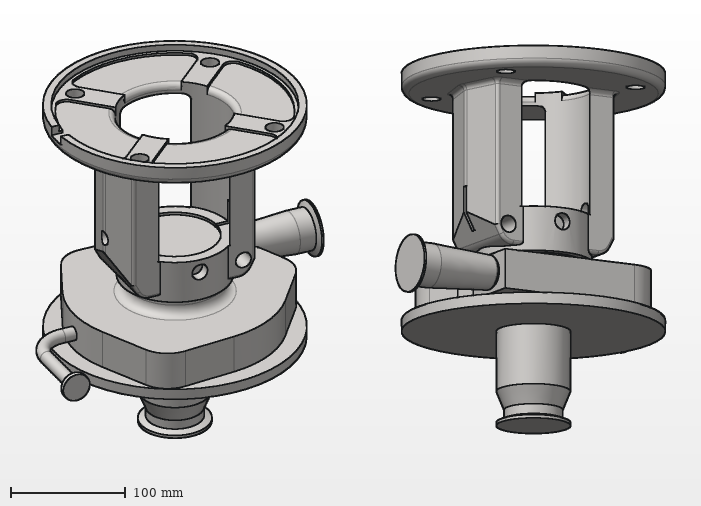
import cadquery as cq
import math

BASE_TOP = 10.0
HOUSING_TOP = 45.0
NECK_FILLET_TOP = 54.5
COLLAR_BOTTOM = 61.3
COLLAR_TOP = 100.7
FLANGE_BOTTOM = 212.3
FLANGE_TOP = 230.0
INLET_BOTTOM = -84.0

PLATE_DIAMETER = 230.0
PLATE_RADIUS = PLATE_DIAMETER / 2

HOUSING_ARC_RADIUS = 97.8
LOBE_CENTER_RADIUS = 84.7
ARC_HALF_ANGLE = 24
LOBE_HALF_ANGLE = 60 - ARC_HALF_ANGLE
LOBE_RADIUS = HOUSING_ARC_RADIUS - LOBE_CENTER_RADIUS * math.cos(math.radians(LOBE_HALF_ANGLE))
OUTLET_FACE_Y = 87.2
OUTLET_FACE_END_X = -46.8
OUTLET_NOTCH = 13.8
OUTLET_NOTCH_ANGLE = 60

NECK_RADIUS = 43.5
COLLAR_RADIUS = 51.0
SHAFT_RADIUS = 40.0
SHAFT_RECESS = 2.5
COLLAR_HOLE_RADIUS = 7.5
COLLAR_HOLE_Z = 88.5

FLANGE_EDGE_FILLET = 6.5
BORE_RADIUS = 52.0
RIM_INNER_RADIUS = 107.8
LAND_Z = FLANGE_TOP - 6.0
POCKET_FLOOR_Z = FLANGE_TOP - 8.3
POCKET_RADIUS = 104.2
POCKET_CORNER = 9.5
POCKET_LIP = 5.8
BAND_WIDTH = 24.0
BAND_ANGLES = (45, 135)
BOLT_RADIUS = 8.0
BOLT_CIRCLE_RADIUS = 92.0
BOLT_ANGLES = (45, 135, 225, 315)
RIM_SLOT_WIDTH = 19.0

LEG_HALF_WIDTH = 39.0
LEG_SIDE_Y = 59.0
LEG_PEAK_Y = 69.3
LEG_INNER_Y = 19.2
LEG_BOTTOM = 66.5
LEG_CHAMFER_TOP = 100.0
LEG_CHAMFER_ANGLE = 28
LEG_RIDGE_FILLET = 10.0
LEG_EDGE_FILLET = 3.2
LEG_TOE_FILLET = 14.5
LEG_ROOT_FILLET = 4.8
SIGHT_HOLE_RADIUS = 6.5
SIGHT_HOLE_Z = 113.5

SLIT_WIDTH = 4.0
SLIT_TOP = 122.0
CLAMP_HOLE_RADIUS = 7.5
CLAMP_HOLE_Y = 47.5
CLAMP_HOLE_Z = 83.5

PICK_MARGIN = 0.3

INLET_RADIUS = 32.5
INLET_CONE_TOP = -53.5
INLET_CONE_BOTTOM = -70.0
INLET_NECK_RADIUS = 25.5
INLET_FERRULE_TOP = -78.5
INLET_RIM_TOP = -81.0

OUTLET_X = -80.0
OUTLET_Z = (BASE_TOP + HOUSING_TOP) / 2
OUTLET_END_Y = 170.0
OUTLET_RIM = 2.0
OUTLET_FERRULE = 4.5
OUTLET_CONE_END_Y = 149.8
OUTLET_RADIUS = 19.5
OUTLET_FERRULE_RADIUS = 25.3
OUTLET_ROOT_Y = 91.7
OUTLET_ROOT_RADIUS = 15.5
OUTLET_ROOT_ROUND = 3.2

DRAIN_Z = 25.5
DRAIN_DIAMETER = 12.5
DRAIN_EMBED = 3.2
DRAIN_Y = -138.0
DRAIN_BEND = 29.2
DRAIN_END_X = 89.8
DRAIN_FERRULE_RADIUS = 12.8
DRAIN_RIM = 4.5
DRAIN_CONE = 3.0
DRAIN_CONE_RADIUS = 9.0


def polar(radius, angle, center=(0, 0)):
    turn = math.radians(angle)
    return (center[0] + radius * math.cos(turn), center[1] + radius * math.sin(turn))


def cylinder(radius, bottom, top):
    return cq.Workplane("XY").workplane(offset=bottom).circle(radius).extrude(top - bottom)


def box_between(x_range, y_range, z_range):
    sizes = [high - low for low, high in (x_range, y_range, z_range)]
    corner = (x_range[0], y_range[0], z_range[0])
    return cq.Workplane("XY").box(*sizes, centered=False).translate(corner)


def make_housing():
    lobes = {angle: polar(LOBE_CENTER_RADIUS, angle) for angle in (90, 210, 330)}
    outlet_side_x = lobes[210][0] - LOBE_RADIUS
    notch_start = (OUTLET_FACE_END_X, OUTLET_FACE_Y)
    notch_end = polar(OUTLET_NOTCH, OUTLET_NOTCH_ANGLE, notch_start)

    outline = cq.Workplane("XY").workplane(offset=BASE_TOP)
    outline = outline.moveTo(outlet_side_x, OUTLET_FACE_Y).lineTo(*polar(LOBE_RADIUS, 180, lobes[210]))

    def add_lobe(path, lobe, start, end):
        middle = polar(LOBE_RADIUS, (start + end) / 2, lobes[lobe])
        return path.threePointArc(middle, polar(LOBE_RADIUS, end, lobes[lobe]))

    def add_shallow_arc(path, middle):
        path = path.lineTo(*polar(HOUSING_ARC_RADIUS, middle - ARC_HALF_ANGLE))
        path = path.threePointArc(
            polar(HOUSING_ARC_RADIUS, middle),
            polar(HOUSING_ARC_RADIUS, middle + ARC_HALF_ANGLE),
        )
        next_lobe = (middle + 60) % 360
        return path.lineTo(*polar(LOBE_RADIUS, middle + ARC_HALF_ANGLE, lobes[next_lobe]))

    outline = add_lobe(outline, 210, 180, 210 + LOBE_HALF_ANGLE)
    outline = add_shallow_arc(outline, 270)
    outline = add_lobe(outline, 330, 330 - LOBE_HALF_ANGLE, 330 + LOBE_HALF_ANGLE)
    outline = add_shallow_arc(outline, 30)
    outline = add_lobe(outline, 90, 90 - LOBE_HALF_ANGLE, 90 + ARC_HALF_ANGLE)
    outline = outline.lineTo(*notch_end).lineTo(*notch_start).close()
    return outline.extrude(HOUSING_TOP - BASE_TOP)


def make_shaft_column():
    """Neck with a flared foot, and the collar around the shaft end."""
    flare = NECK_FILLET_TOP - HOUSING_TOP
    bulge = flare * (1 - math.sqrt(0.5))
    column = (
        cq.Workplane("XZ")
        .moveTo(0, HOUSING_TOP)
        .lineTo(NECK_RADIUS + flare, HOUSING_TOP)
        .threePointArc((NECK_RADIUS + bulge, HOUSING_TOP + bulge), (NECK_RADIUS, NECK_FILLET_TOP))
        .lineTo(NECK_RADIUS, COLLAR_BOTTOM)
        .lineTo(COLLAR_RADIUS, COLLAR_BOTTOM)
        .lineTo(COLLAR_RADIUS, COLLAR_TOP)
        .lineTo(SHAFT_RADIUS, COLLAR_TOP)
        .lineTo(SHAFT_RADIUS, COLLAR_TOP - SHAFT_RECESS)
        .lineTo(0, COLLAR_TOP - SHAFT_RECESS)
        .close()
        .revolve(360, (0, 0), (0, 1))
    )
    for direction in (-1, 1):
        side_hole = (
            cq.Workplane("YZ", origin=(direction * SHAFT_RADIUS, 0, COLLAR_HOLE_Z))
            .circle(COLLAR_HOLE_RADIUS)
            .extrude(direction * COLLAR_RADIUS)
        )
        column = column.cut(side_hole)
    return column


def make_leg():
    """Front leg: a ridged post with a sloped and rounded lower end."""
    leg = (
        cq.Workplane("XY", origin=(0, 0, LEG_BOTTOM))
        .moveTo(-LEG_HALF_WIDTH, -LEG_INNER_Y)
        .lineTo(-LEG_HALF_WIDTH, -LEG_SIDE_Y)
        .lineTo(0, -LEG_PEAK_Y)
        .lineTo(LEG_HALF_WIDTH, -LEG_SIDE_Y)
        .lineTo(LEG_HALF_WIDTH, -LEG_INNER_Y)
        .close()
        .extrude(FLANGE_BOTTOM - LEG_BOTTOM)
    )
    leg = leg.edges("|Z and <Y").fillet(LEG_RIDGE_FILLET)

    slope_drop = LEG_CHAMFER_TOP - LEG_BOTTOM
    slope_run = slope_drop * math.tan(math.radians(LEG_CHAMFER_ANGLE))
    slope = (
        cq.Workplane("YZ", origin=(-LEG_HALF_WIDTH, 0, 0))
        .moveTo(-LEG_PEAK_Y, LEG_CHAMFER_TOP)
        .lineTo(-LEG_PEAK_Y, LEG_BOTTOM)
        .lineTo(slope_run - LEG_PEAK_Y, LEG_BOTTOM)
        .close()
        .extrude(2 * LEG_HALF_WIDTH)
    )
    leg = leg.cut(slope)
    toe = cq.selectors.BoxSelector(
        (-LEG_HALF_WIDTH, -LEG_PEAK_Y, LEG_BOTTOM - PICK_MARGIN),
        (LEG_HALF_WIDTH, -LEG_INNER_Y - PICK_MARGIN, LEG_BOTTOM + PICK_MARGIN),
    )
    leg = leg.edges(toe).edges("|X").fillet(LEG_TOE_FILLET)
    outer_side_edges = cq.selectors.BoxSelector(
        (-2 * LEG_HALF_WIDTH, -2 * LEG_PEAK_Y, LEG_BOTTOM - PICK_MARGIN),
        (2 * LEG_HALF_WIDTH, -LEG_INNER_Y - PICK_MARGIN, FLANGE_BOTTOM - PICK_MARGIN),
    )
    return leg.faces("<X or >X").edges(outer_side_edges).fillet(LEG_EDGE_FILLET)


def make_flange_blank():
    blank = cylinder(PLATE_RADIUS, FLANGE_BOTTOM, FLANGE_TOP)
    return blank.faces("<Z").edges().fillet(FLANGE_EDGE_FILLET)


def make_pocket_cutter():
    """Ring with a rounded inner lip, split into four pockets by the crossing bands."""
    lip_radius = BORE_RADIUS + POCKET_LIP
    lip_bottom = POCKET_FLOOR_Z - POCKET_LIP
    lip_middle = polar(POCKET_LIP, 135, (lip_radius, lip_bottom))
    cutter = (
        cq.Workplane("XZ")
        .moveTo(0, FLANGE_TOP)
        .lineTo(POCKET_RADIUS, FLANGE_TOP)
        .lineTo(POCKET_RADIUS, POCKET_FLOOR_Z)
        .lineTo(lip_radius, POCKET_FLOOR_Z)
        .threePointArc(lip_middle, (BORE_RADIUS, lip_bottom))
        .lineTo(0, lip_bottom)
        .close()
        .revolve(360, (0, 0), (0, 1))
    )
    for angle in BAND_ANGLES:
        band = cq.Workplane("XY").box(2 * PLATE_RADIUS, BAND_WIDTH, 2 * FLANGE_TOP)
        cutter = cutter.cut(band.rotate((0, 0, 0), (0, 0, 1), angle))
    inner = cq.selectors.BoxSelector(
        (-lip_radius, -lip_radius, 0), (lip_radius, lip_radius, 2 * FLANGE_TOP)
    )
    outer_corners = cq.selectors.SubtractSelector(cq.selectors.StringSyntaxSelector("|Z"), inner)
    return cutter.edges(outer_corners).fillet(POCKET_CORNER)


def make_lantern():
    """Mounting flange with its two legs."""
    front_leg = make_leg()
    rear_leg = front_leg.mirror("XZ")
    lantern = make_flange_blank().union(front_leg).union(rear_leg)
    lantern = lantern.cut(cylinder(BORE_RADIUS, COLLAR_TOP, FLANGE_TOP))
    lantern = lantern.cut(cylinder(NECK_RADIUS, LEG_BOTTOM, COLLAR_TOP))

    for direction in (-1, 1):
        near_y, far_y = sorted((direction * LEG_INNER_Y, direction * (LEG_PEAK_Y + PICK_MARGIN)))
        roots = cq.selectors.BoxSelector(
            (-LEG_HALF_WIDTH - PICK_MARGIN, near_y, FLANGE_BOTTOM - PICK_MARGIN),
            (LEG_HALF_WIDTH + PICK_MARGIN, far_y, FLANGE_BOTTOM + PICK_MARGIN),
        )
        lantern = lantern.edges(roots).edges("not %CIRCLE").fillet(LEG_ROOT_FILLET)

    lantern = lantern.cut(cylinder(RIM_INNER_RADIUS, LAND_Z, FLANGE_TOP))
    lantern = lantern.cut(make_pocket_cutter())
    rim_slot = box_between(
        (-RIM_SLOT_WIDTH / 2, RIM_SLOT_WIDTH / 2),
        (-PLATE_RADIUS, -POCKET_RADIUS + POCKET_LIP),
        (POCKET_FLOOR_Z, FLANGE_TOP),
    )
    lantern = lantern.cut(rim_slot)
    for angle in BOLT_ANGLES:
        center = polar(BOLT_CIRCLE_RADIUS, angle)
        lantern = lantern.cut(cylinder(BOLT_RADIUS, FLANGE_BOTTOM, FLANGE_TOP).translate((*center, 0)))

    sight_hole = (
        cq.Workplane("XZ", origin=(0, 0, SIGHT_HOLE_Z)).circle(SIGHT_HOLE_RADIUS).extrude(PLATE_RADIUS)
    )
    return lantern.cut(sight_hole)


def make_inlet():
    return (
        cq.Workplane("XZ")
        .moveTo(0, 0)
        .lineTo(INLET_RADIUS, 0)
        .lineTo(INLET_RADIUS, INLET_CONE_TOP)
        .lineTo(INLET_NECK_RADIUS, INLET_CONE_BOTTOM)
        .lineTo(INLET_NECK_RADIUS, INLET_FERRULE_TOP)
        .lineTo(INLET_RADIUS, INLET_RIM_TOP)
        .lineTo(INLET_RADIUS, INLET_BOTTOM)
        .lineTo(0, INLET_BOTTOM)
        .close()
        .revolve(360, (0, 0), (0, 1))
    )


def make_outlet():
    root_center = (OUTLET_ROOT_RADIUS - OUTLET_ROOT_ROUND, OUTLET_ROOT_Y)
    rim_y = OUTLET_END_Y - OUTLET_RIM
    outlet = (
        cq.Workplane("XY")
        .moveTo(0, OUTLET_FACE_Y)
        .lineTo(root_center[0], OUTLET_FACE_Y)
        .lineTo(root_center[0], OUTLET_ROOT_Y - OUTLET_ROOT_ROUND)
        .threePointArc(polar(OUTLET_ROOT_ROUND, -45, root_center), (OUTLET_ROOT_RADIUS, OUTLET_ROOT_Y))
        .lineTo(OUTLET_RADIUS, OUTLET_CONE_END_Y)
        .lineTo(OUTLET_RADIUS, OUTLET_END_Y - OUTLET_FERRULE)
        .lineTo(OUTLET_FERRULE_RADIUS, rim_y)
        .lineTo(OUTLET_FERRULE_RADIUS, OUTLET_END_Y)
        .lineTo(0, OUTLET_END_Y)
        .close()
        .revolve(360, (0, 0), (0, 1))
    )
    return outlet.translate((OUTLET_X, 0, OUTLET_Z))


def make_drain():
    start_y = -HOUSING_ARC_RADIUS + DRAIN_EMBED
    bend_center = (DRAIN_BEND, DRAIN_Y + DRAIN_BEND)
    cone_start = DRAIN_END_X - DRAIN_RIM - DRAIN_CONE
    path = (
        cq.Workplane("XY", origin=(0, 0, DRAIN_Z))
        .moveTo(0, start_y)
        .lineTo(0, bend_center[1])
        .threePointArc(polar(DRAIN_BEND, 225, bend_center), (DRAIN_BEND, DRAIN_Y))
        .lineTo(DRAIN_END_X, DRAIN_Y)
    )
    pipe = cq.Workplane("XZ", origin=(0, start_y, DRAIN_Z)).circle(DRAIN_DIAMETER / 2).sweep(path)
    ferrule = (
        cq.Workplane("XY")
        .moveTo(cone_start, 0)
        .lineTo(cone_start, DRAIN_CONE_RADIUS)
        .lineTo(cone_start + DRAIN_CONE, DRAIN_FERRULE_RADIUS)
        .lineTo(DRAIN_END_X, DRAIN_FERRULE_RADIUS)
        .lineTo(DRAIN_END_X, 0)
        .close()
        .revolve(360, (0, 0), (1, 0))
        .translate((0, DRAIN_Y, DRAIN_Z))
    )
    return pipe.union(ferrule)


def cut_clamp(body):
    """Slit the rear leg and collar, and drill the bolt hole across the slit."""
    slit = box_between(
        (-SLIT_WIDTH / 2, SLIT_WIDTH / 2), (SHAFT_RADIUS, LEG_PEAK_Y), (CLAMP_HOLE_Z, SLIT_TOP)
    )
    bolt_hole = (
        cq.Workplane("YZ", origin=(0, CLAMP_HOLE_Y, CLAMP_HOLE_Z))
        .circle(CLAMP_HOLE_RADIUS)
        .extrude(COLLAR_RADIUS, both=True)
    )
    return body.cut(slit).cut(bolt_hole)


body = cylinder(PLATE_RADIUS, 0, BASE_TOP)
for piece in (
    make_housing(),
    make_shaft_column(),
    make_lantern(),
    make_inlet(),
    make_outlet(),
    make_drain(),
):
    body = body.union(piece)

result = cut_clamp(body)